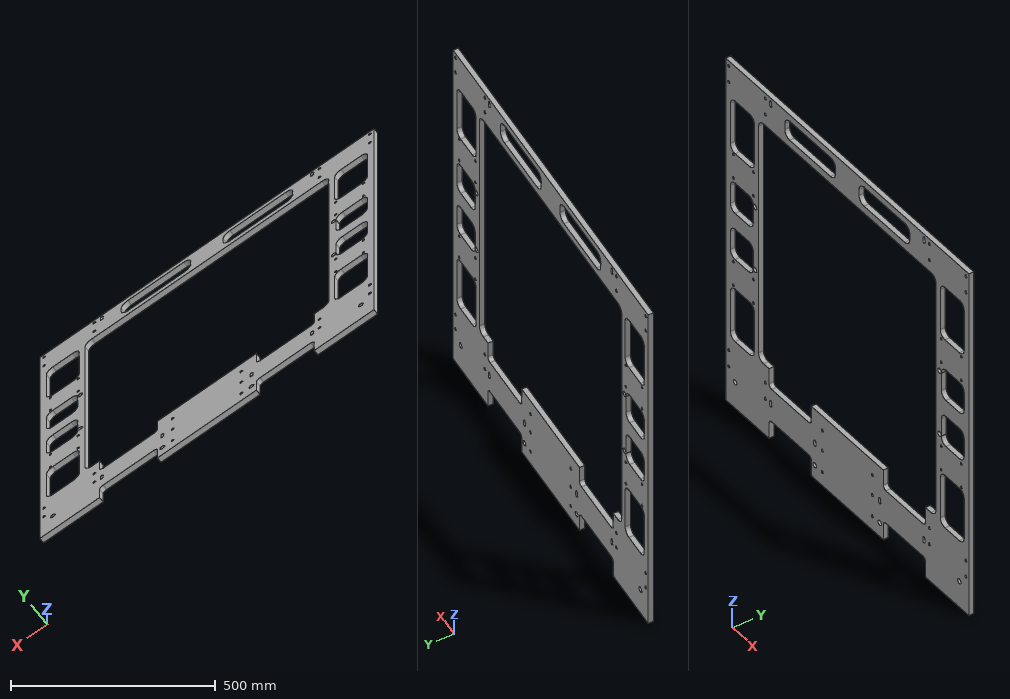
import cadquery as cq

WIDTH = 1020.0
HEIGHT = 1080.0
THICKNESS = 15.0
TOP = HEIGHT / 2
BOTTOM = -HEIGHT / 2
CUT_DEPTH = 2 * THICKNESS

BEAM_HEIGHT = 103.0
POST_WIDTH = 138.0
FOOT_WIDTH = 183.0
FOOT_HEIGHT = 220.0
CENTRE_BLOCK_WIDTH = 302.0
CROSS_BAR_BOTTOM = 59.0
OPENING_RADIUS = 20.0
NOTCH_RADIUS = 11.0

HANDLE_LENGTH = 212.0
HANDLE_HEIGHT = 59.0
HANDLE_X = 155.0
HANDLE_DROP = 20.0
HANDLE_RADIUS = 20.0

WINDOW_MARGIN = 20.0
WINDOW_RADIUS = 19.0
TALL_WINDOW_WIDTH = 99.0
TALL_WINDOW_HEIGHT = 165.0
TALL_WINDOW_DROPS = (110.0, 704.0)
SQUARE_WINDOW_SIZE = 95.0
SQUARE_WINDOW_DROPS = (369.0, 515.0)

CORNER_HOLE_DIAMETER = 8.0
CORNER_HOLE_XS = (343.0, 497.0)
CORNER_HOLE_PITCH_Z = 51.0
UPPER_CORNER_DROP = 16.0
LOWER_CORNER_RISE = 115.0

POST_HOLE_DIAMETER = 6.0
POST_HOLE_XS = (393.0, 477.0)
POST_HOLE_PITCH_Z = 75.0
POST_HOLE_DROPS = (283.0, 622.0)

CABLE_HOLE_DIAMETER = 14.0
CABLE_HOLE_X = 387.0
CABLE_HOLE_DROPS = (389.0, 588.0)

BLOCK_HOLE_DIAMETER = 8.0
BLOCK_HOLE_X = 105.0
BLOCK_HOLE_RISES = (43.0, 110.0, 174.0)
BASE_HOLE_DIAMETER = 14.0
BLOCK_BASE_HOLE = (136.0, 43.0)
FOOT_BASE_HOLE = (470.0, 82.0)

SLOT_LENGTH = 18.0
SLOT_WIDTH = 9.0
UPRIGHT_ANGLE = 90
SLOT_OUTER_X = 321.0
SLOT_INNER_X = 136.0
SLOT_DROP = 19.0
SLOT_RISE = 113.0


def mirrored(points):
    """Return the points together with their mirror images about the centre line."""
    return [(side * x, z) for x, z in points for side in (1, -1)]


def block(width, z_low, z_high, x_centre=0.0):
    """Rectangular cutter through the plate between two heights."""
    return (
        cq.Workplane("XZ")
        .center(x_centre, (z_low + z_high) / 2)
        .rect(width, z_high - z_low)
        .extrude(CUT_DEPTH / 2, both=True)
    )


def cut_rounded_windows(body, points, width, height, radius):
    """Cut rectangular openings with rounded corners, centred on the points and their mirrors."""
    cutters = (
        cq.Workplane("XZ")
        .pushPoints(mirrored(points))
        .rect(width, height)
        .extrude(CUT_DEPTH / 2, both=True)
        .edges("|Y")
        .fillet(radius)
    )
    return body.cut(cutters)


def cut_holes(body, points, diameter):
    """Cut round through holes at the points and their mirrors."""
    cutters = (
        cq.Workplane("XZ")
        .pushPoints(mirrored(points))
        .circle(diameter / 2)
        .extrude(CUT_DEPTH / 2, both=True)
    )
    return body.cut(cutters)


def cut_slots(body, points):
    """Cut short upright slots at the points and their mirrors."""
    cutters = (
        cq.Workplane("XZ")
        .pushPoints(mirrored(points))
        .slot2D(SLOT_LENGTH, SLOT_WIDTH, UPRIGHT_ANGLE)
        .extrude(CUT_DEPTH / 2, both=True)
    )
    return body.cut(cutters)


def make_frame():
    """Plate with the main opening and the notches above and below the cross bar."""
    opening_bottom = BOTTOM + FOOT_HEIGHT
    bar_bottom = BOTTOM + CROSS_BAR_BOTTOM
    bar_top = bar_bottom + BEAM_HEIGHT
    notch_inner = CENTRE_BLOCK_WIDTH / 2
    notch_outer = WIDTH / 2 - FOOT_WIDTH
    notch_width = notch_outer - notch_inner
    notch_x = (notch_inner + notch_outer) / 2

    opening = block(WIDTH - 2 * POST_WIDTH, opening_bottom, TOP - BEAM_HEIGHT)
    frame = cq.Workplane("XZ").rect(WIDTH, HEIGHT).extrude(THICKNESS / 2, both=True)
    frame = frame.cut(opening.edges("|Y").fillet(OPENING_RADIUS))
    for x in (-notch_x, notch_x):
        upper_notch = block(notch_width, bar_top, opening_bottom + OPENING_RADIUS, x)
        lower_notch = block(notch_width, BOTTOM - NOTCH_RADIUS, bar_bottom, x)
        frame = frame.cut(upper_notch.edges("|Y and <Z").fillet(NOTCH_RADIUS))
        frame = frame.cut(lower_notch.edges("|Y and >Z").fillet(NOTCH_RADIUS))
    return frame


def cut_beam_and_post_windows(body):
    """Handle openings in the beam, tall and square windows in the posts."""
    post_edge = WIDTH / 2 - WINDOW_MARGIN
    handle = [(HANDLE_X, TOP - HANDLE_DROP - HANDLE_HEIGHT / 2)]
    tall_x = post_edge - TALL_WINDOW_WIDTH / 2
    tall = [(tall_x, TOP - drop - TALL_WINDOW_HEIGHT / 2) for drop in TALL_WINDOW_DROPS]
    square_x = post_edge - SQUARE_WINDOW_SIZE / 2
    square = [(square_x, TOP - drop - SQUARE_WINDOW_SIZE / 2) for drop in SQUARE_WINDOW_DROPS]

    body = cut_rounded_windows(body, handle, HANDLE_LENGTH, HANDLE_HEIGHT, HANDLE_RADIUS)
    body = cut_rounded_windows(body, tall, TALL_WINDOW_WIDTH, TALL_WINDOW_HEIGHT, WINDOW_RADIUS)
    return cut_rounded_windows(body, square, SQUARE_WINDOW_SIZE, SQUARE_WINDOW_SIZE, WINDOW_RADIUS)


def cut_mounting_holes(body):
    """Round holes at the corners, along the posts and in the lower members."""
    upper_corner_z = TOP - UPPER_CORNER_DROP
    lower_corner_z = BOTTOM + LOWER_CORNER_RISE
    corner_zs = (
        upper_corner_z,
        upper_corner_z - CORNER_HOLE_PITCH_Z,
        lower_corner_z,
        lower_corner_z + CORNER_HOLE_PITCH_Z,
    )
    corner = [(x, z) for x in CORNER_HOLE_XS for z in corner_zs]
    post = [
        (x, TOP - drop - step)
        for x in POST_HOLE_XS
        for drop in POST_HOLE_DROPS
        for step in (0, POST_HOLE_PITCH_Z)
    ]
    cable = [(CABLE_HOLE_X, TOP - drop) for drop in CABLE_HOLE_DROPS]
    centre_block = [(BLOCK_HOLE_X, BOTTOM + rise) for rise in BLOCK_HOLE_RISES]
    base = [(x, BOTTOM + rise) for x, rise in (BLOCK_BASE_HOLE, FOOT_BASE_HOLE)]

    body = cut_holes(body, corner, CORNER_HOLE_DIAMETER)
    body = cut_holes(body, post, POST_HOLE_DIAMETER)
    body = cut_holes(body, cable, CABLE_HOLE_DIAMETER)
    body = cut_holes(body, centre_block, BLOCK_HOLE_DIAMETER)
    return cut_holes(body, base, BASE_HOLE_DIAMETER)


slot_points = [
    (SLOT_OUTER_X, TOP - SLOT_DROP),
    (SLOT_OUTER_X, BOTTOM + SLOT_RISE),
    (SLOT_INNER_X, BOTTOM + SLOT_RISE),
]

plate = make_frame()
plate = cut_beam_and_post_windows(plate)
plate = cut_mounting_holes(plate)
plate = cut_slots(plate, slot_points)

result = plate.val().Solids()[0]